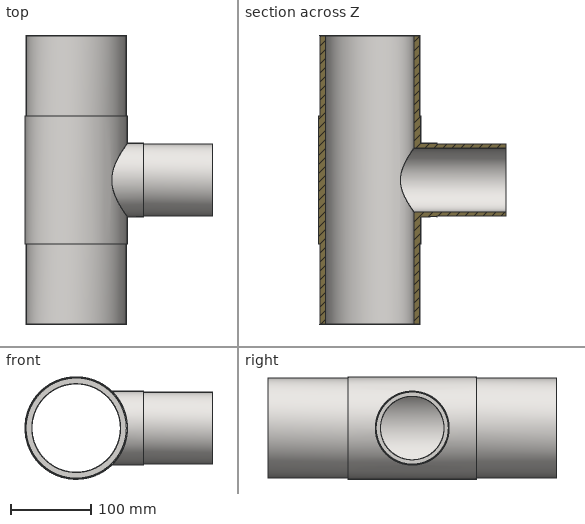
import cadquery as cq

RUN_OUTER_DIAMETER = 125.0
RUN_WALL = 7.4
RUN_LENGTH = 360.0
RUN_SPIGOT_LENGTH = 100.0

BRANCH_OUTER_DIAMETER = 90.0
BRANCH_WALL = 5.4
BRANCH_REACH = 170.0
BRANCH_SPIGOT_LENGTH = 86.0

BODY_WALL_FACTOR = 1.2

run_bore_diameter = RUN_OUTER_DIAMETER - 2 * RUN_WALL
run_body_diameter = run_bore_diameter + 2 * RUN_WALL * BODY_WALL_FACTOR
run_body_length = RUN_LENGTH - 2 * RUN_SPIGOT_LENGTH

branch_bore_diameter = BRANCH_OUTER_DIAMETER - 2 * BRANCH_WALL
branch_body_diameter = branch_bore_diameter + 2 * BRANCH_WALL * BODY_WALL_FACTOR
branch_body_reach = BRANCH_REACH - BRANCH_SPIGOT_LENGTH


def run_cylinder(diameter, length):
    """Cylinder along Y, centred on the origin."""
    return cq.Workplane("XZ").circle(diameter / 2).extrude(length / 2, both=True)


def branch_cylinder(diameter, reach):
    """Cylinder along +X, starting on the run axis."""
    return cq.Workplane("YZ").circle(diameter / 2).extrude(reach)


def make_outside():
    """Solid tee: the thicker body with its three spigots."""
    return (
        run_cylinder(run_body_diameter, run_body_length)
        .union(run_cylinder(RUN_OUTER_DIAMETER, RUN_LENGTH))
        .union(branch_cylinder(branch_body_diameter, branch_body_reach))
        .union(branch_cylinder(BRANCH_OUTER_DIAMETER, BRANCH_REACH))
    )


def make_bores():
    """Run bore right through, with the branch bore opening into it."""
    run_bore = run_cylinder(run_bore_diameter, RUN_LENGTH)
    return run_bore.union(branch_cylinder(branch_bore_diameter, BRANCH_REACH))


result = make_outside().cut(make_bores())